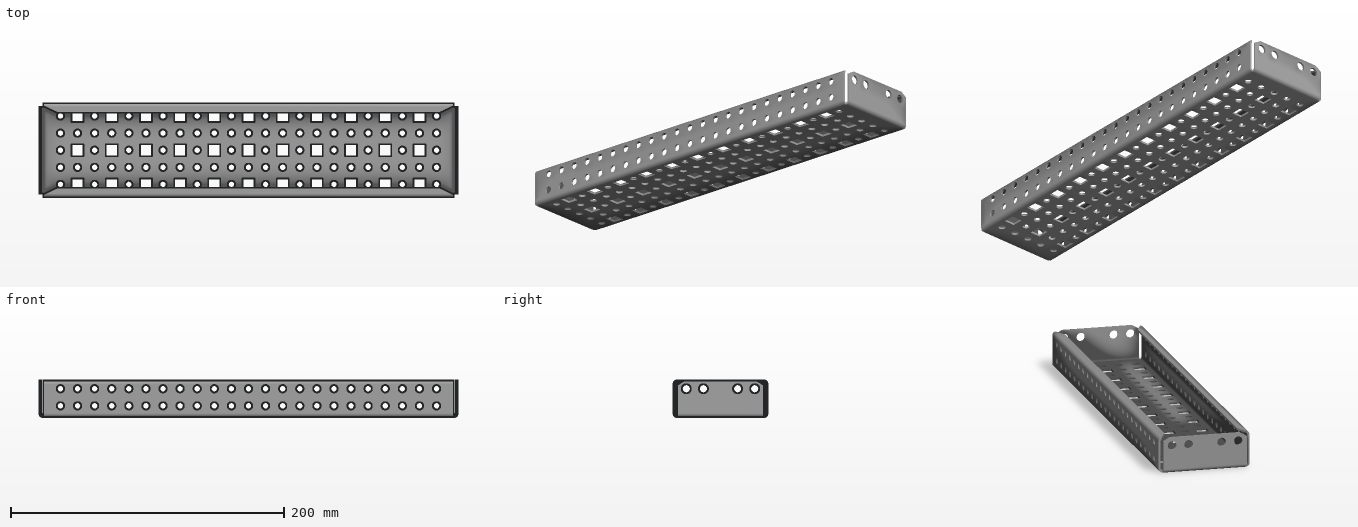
import cadquery as cq

length = 306.0
width = 69.0
height = 27.0

sheet = 1.5
bend_outer = 2.8
bend_inner = bend_outer - sheet

side_end_setback = bend_outer
side_length = length - 2 * side_end_setback
lip_width = 7.0
lip_miter_inset = 2.0
lip_miter_run = 10.0

end_wall_width = width - 2 * bend_outer
end_chamfer_across = 5.2
end_chamfer_down = 3.0

columns = 23
grid_length = 275.0
pitch = grid_length / (columns - 1)
hole_diameter = 5.2
square_size = 8.5
wall_row_low = 8.3
wall_row_high = wall_row_low + pitch
end_hole_diameter = 6.5

column_places = [(i - (columns - 1) / 2) * pitch for i in range(columns)]
round_columns = column_places[0::2]
square_columns = column_places[1::2]
plain_rows = (-pitch, pitch)
mixed_rows = (-2 * pitch, 0, 2 * pitch)
end_columns = (-2 * pitch, -pitch, pitch, 2 * pitch)


def box_between(x0, x1, y0, y1, z0, z1):
    """Box given by its limits along each axis."""
    return cq.Workplane("XY").box(x1 - x0, y1 - y0, z1 - z0, centered=False).translate((x0, y0, z0))


def make_channel():
    """Floor, side walls and inward lips, with both lips mitred at their ends."""
    outer = (
        box_between(-side_length / 2, side_length / 2, -width / 2, width / 2, 0, height)
        .edges("|X").fillet(bend_outer)
    )
    inner = (
        box_between(-length / 2, length / 2, sheet - width / 2, width / 2 - sheet, sheet, height - sheet)
        .edges("|X").fillet(bend_inner)
    )
    lip_gap = width / 2 - lip_width
    opening = box_between(-length / 2, length / 2, -lip_gap, lip_gap, height / 2, height)
    return outer.cut(inner).cut(opening).cut(make_miters())


def make_miters():
    """Wedges that cut the lip ends back, deepest at the free edge of the lip."""
    root_x = side_length / 2
    root_y = width / 2 - lip_miter_inset
    tip_y = width / 2 - lip_width
    wedge = (
        cq.Workplane("XY").workplane(offset=height - bend_outer)
        .moveTo(root_x, root_y)
        .lineTo(root_x - lip_miter_run, tip_y)
        .lineTo(root_x, tip_y)
        .close().extrude(bend_outer)
    )
    pair = wedge.union(wedge.mirror("YZ"))
    return pair.union(pair.mirror("XZ"))


def make_ends():
    """Floor strip bent up into the two end walls, whose top corners are chamfered."""
    outer = (
        box_between(-length / 2, length / 2, -end_wall_width / 2, end_wall_width / 2, 0, height)
        .edges("|Y and <Z").fillet(bend_outer)
    )
    inner = (
        box_between(sheet - length / 2, length / 2 - sheet, -width / 2, width / 2, sheet, 2 * height)
        .edges("|Y and <Z").fillet(bend_inner)
    )
    half = end_wall_width / 2
    corner = (
        cq.Workplane("YZ").workplane(offset=-length / 2)
        .moveTo(half, height)
        .lineTo(half - end_chamfer_across, height)
        .lineTo(half, height - end_chamfer_down)
        .close().extrude(length)
    )
    return outer.cut(inner).cut(corner).cut(corner.mirror("XZ"))


def make_floor_cuts():
    """Round holes on the whole floor grid, with squares at every other place of every other row."""
    rounds = [(x, y) for x in column_places for y in plain_rows]
    rounds += [(x, y) for x in round_columns for y in mixed_rows]
    squares = [(x, y) for x in square_columns for y in mixed_rows]
    holes = cq.Workplane("XY").pushPoints(rounds).circle(hole_diameter / 2).extrude(sheet)
    windows = cq.Workplane("XY").pushPoints(squares).rect(square_size, square_size).extrude(sheet)
    return holes.add(windows)


def make_side_cuts():
    """Two rows of round holes through both side walls."""
    places = [(x, z) for x in column_places for z in (wall_row_low, wall_row_high)]
    centers = cq.Workplane("XZ").pushPoints(places)
    return centers.circle(hole_diameter / 2).extrude(width / 2, both=True)


def make_end_cuts():
    """Four round holes through both end walls."""
    places = [(y, wall_row_high) for y in end_columns]
    centers = cq.Workplane("YZ").pushPoints(places)
    return centers.circle(end_hole_diameter / 2).extrude(length / 2, both=True)


result = make_channel().union(make_ends())
for cuts in (make_floor_cuts(), make_side_cuts(), make_end_cuts()):
    for tool in cuts.vals():
        result = result.cut(cq.Workplane(tool))